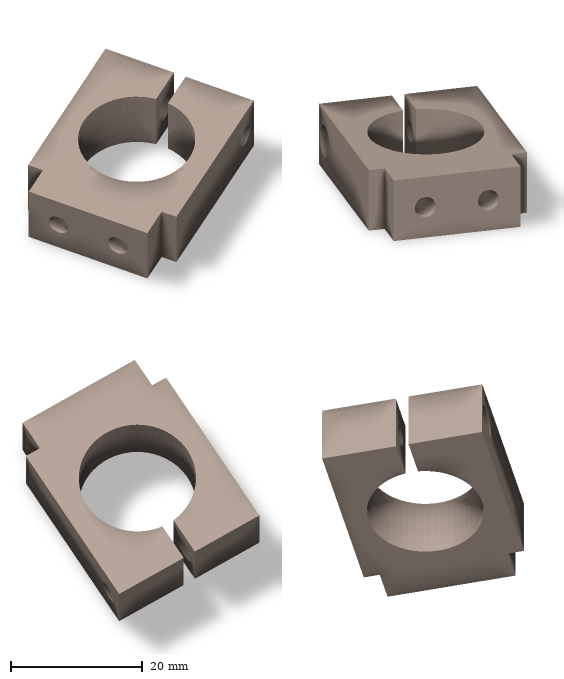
import cadquery as cq

width = 25.0
length = 32.0
thickness = 10.0

tongue_width = 20.0
tongue_length = 5.0

bore_diameter = 17.8
bore_center_y = 17.0
slot_width = 2.0

screw_y = length - 3.0
screw_diameter = 3.33
neck_diameter = 4.2
head_diameter = 5.2
head_depth = 5.0
neck_end_depth = (width - slot_width) / 2

mount_diameter = 3.33
mount_spacing = 10.0
mount_depth = 6.0


def make_body():
    """Wide clamp block with the narrower tongue at its base."""
    block_length = length - tongue_length
    block = cq.Workplane("XY").box(width, block_length, thickness, centered=(True, False, True))
    block = block.translate((0, tongue_length, 0))
    tongue = cq.Workplane("XY").box(tongue_width, length / 2, thickness, centered=(True, False, True))
    return block.union(tongue)


def cut_clamp_opening(body):
    """Remove the vertical bore and its slot."""
    bore = cq.Workplane("XY").center(0, bore_center_y).circle(bore_diameter / 2)
    bore = bore.extrude(thickness / 2, both=True)
    slot_length = length - bore_center_y
    slot = cq.Workplane("XY").box(slot_width, slot_length, thickness, centered=(True, False, True))
    return body.cut(bore).cut(slot.translate((0, bore_center_y, 0)))


def cut_screw_hole(body):
    """Cut the stepped clamp screw hole, entering from the -X side."""
    steps = [
        (head_diameter, head_depth),
        (neck_diameter, neck_end_depth),
        (screw_diameter, width),
    ]
    entry = cq.Workplane("YZ", origin=(-width / 2, screw_y, 0))
    for diameter, depth in steps:
        body = body.cut(entry.circle(diameter / 2).extrude(depth))
    return body


def cut_mounting_holes(body):
    """Cut the pair of blind holes into the base end."""
    holes = (
        cq.Workplane("XZ")
        .pushPoints([(-mount_spacing / 2, 0), (mount_spacing / 2, 0)])
        .circle(mount_diameter / 2)
        .extrude(-mount_depth)
    )
    return body.cut(holes)


result = cut_mounting_holes(cut_screw_hole(cut_clamp_opening(make_body())))